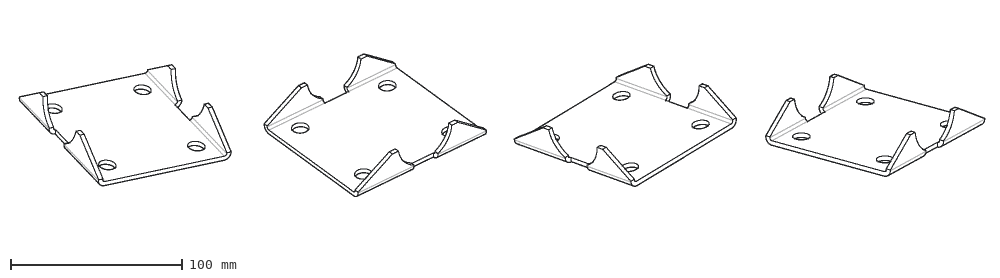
import cadquery as cq
import math

length = 95.1
width = 89.4
thickness = 3.0
inner_bend = 1.5
outer_bend = inner_bend + thickness

ear_height = 20.3
ear_shoulder = 5.0
ear_flat = 4.5
seat_radius = 20.0
seat_x = 44.8
seat_z = thickness + seat_radius

hole_diameter = 10.2
hole_spacing_x = 64.5
hole_spacing_y = 60.0

turn_about_z = -36.3
tilt_about_y = 6.7


def seat_half_width(height):
    """Half the width of the seat circle at a height above the plate underside."""
    return math.sqrt(seat_radius**2 - (seat_z - height) ** 2)


def plate():
    flat_width = width - 2 * outer_bend
    blank = cq.Workplane("XY").box(length, flat_width, thickness, centered=(False, True, False))
    return (
        blank.faces(">Z")
        .workplane(origin=(length / 2, 0, thickness))
        .rarray(hole_spacing_x, hole_spacing_y, 2, 2)
        .hole(hole_diameter)
    )


def folded_edge():
    """L-shaped strip along the -Y side: the bend and an upright wall of full length."""
    outer_y = -width / 2
    bend_y = outer_y + outer_bend
    diagonal = math.sqrt(0.5)
    return (
        cq.Workplane("YZ")
        .moveTo(bend_y, 0)
        .threePointArc(
            (bend_y - outer_bend * diagonal, outer_bend - outer_bend * diagonal),
            (outer_y, outer_bend),
        )
        .lineTo(outer_y, ear_height)
        .lineTo(outer_y + thickness, ear_height)
        .lineTo(outer_y + thickness, outer_bend)
        .threePointArc(
            (bend_y - inner_bend * diagonal, outer_bend - inner_bend * diagonal),
            (bend_y, thickness),
        )
        .close()
        .extrude(length)
    )


def ear_outline(end_x, side):
    """Side outline of the ear at end_x; side is -1 left of the seat and +1 right of it."""
    foot_x = seat_x + side * seat_half_width(ear_shoulder)
    tip_x = seat_x + side * seat_half_width(ear_height)
    middle_height = (ear_shoulder + ear_height) / 2
    middle_x = seat_x + side * seat_half_width(middle_height)
    return (
        cq.Workplane("XZ")
        .moveTo(end_x, 0)
        .lineTo(foot_x, 0)
        .lineTo(foot_x, ear_shoulder)
        .threePointArc((middle_x, middle_height), (tip_x, ear_height))
        .lineTo(tip_x + side * ear_flat, ear_height)
        .lineTo(end_x, ear_shoulder)
        .close()
        .extrude(width)
    )


ears = folded_edge().intersect(ear_outline(0, -1).union(ear_outline(length, 1)))

cradle = plate().union(ears).union(ears.mirror("XZ"))

result = (
    cradle.translate((-length / 2, 0, 0))
    .rotate((0, 0, 0), (0, 0, 1), turn_about_z)
    .rotate((0, 0, 0), (0, 1, 0), tilt_about_y)
)